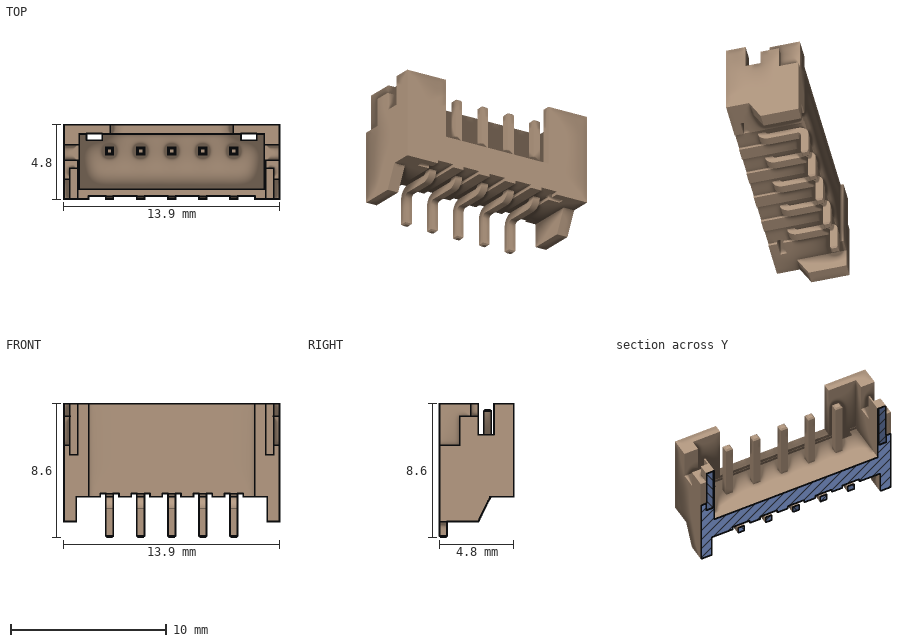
import cadquery as cq


length = 13.9
depth = 4.8
body_height = 6.0
half_length = length / 2

cavity_width = 11.93
front_wall = 0.63
back_wall = 0.58
floor_thickness = 1.6
cavity_back = depth - back_wall

ledge_width = 0.03
ledge_height = 0.2

pad_width = 1.6
relief_depth = 0.2

post_width = 2.99
back_drop = 3.99

slot_front = 2.5
slot_width = 1.0
slot_depth = 2.0

tab_thickness = 0.5
tab_depth = 2.0
tab_height = 3.31
tab_wall = 0.1
tab_inner_x = cavity_width / 2 + tab_wall
tab_outer_x = tab_inner_x + tab_thickness

skin_front_depth = 1.29
skin_front_drop = 2.7
skin_back_drop = 0.8

leg_width = 0.8
leg_height = 1.6
leg_toe_y = 2.5
leg_root_y = 3.28

core_hole_width = 1.0
core_hole_depth = 0.42
core_hole_x = 4.98

pin_count = 5
pin_pitch = 2.0
pin_size = 0.5
pin_back_y = 3.35
pin_tip_recess = 0.4
pin_top = body_height - pin_tip_recess
pin_bottom = -2.6
pin_run_top = 0.0
bend_inner = 0.25
bend_outer = bend_inner + pin_size
tip_chamfer = 0.1
pin_xs = [(i - (pin_count - 1) / 2) * pin_pitch for i in range(pin_count)]

groove_width = 1.2
groove_depth = 0.21


def block(x_range, y_range, z_range):
    """Box spanning the given ranges."""
    sizes = [end - start for start, end in (x_range, y_range, z_range)]
    return (
        cq.Workplane("XY")
        .box(*sizes, centered=False)
        .translate((x_range[0], y_range[0], z_range[0]))
    )


def mirrored(shape):
    """The shape together with its mirror image at the other end."""
    return shape.union(shape.mirror("YZ"))


def make_tab(side):
    """Tab at the end given by side (-1 or 1), flush with the front face and the rim."""
    x_range = sorted((side * tab_inner_x, side * tab_outer_x))
    return block(x_range, (0, tab_depth), (body_height - tab_height, body_height))


def make_pin(x):
    """Square pin: upright, forward under the floor, then down along the front face."""
    pin_front_y = pin_back_y - pin_size
    run_bottom = pin_run_top - pin_size
    rear_bend_z = pin_run_top + bend_inner
    front_bend_z = run_bottom - bend_inner
    profile = (
        cq.Workplane("YZ", origin=(x - pin_size / 2, 0, 0))
        .moveTo(pin_back_y, pin_top)
        .lineTo(pin_back_y, rear_bend_z)
        .radiusArc((pin_back_y - bend_outer, run_bottom), bend_outer)
        .lineTo(bend_outer, run_bottom)
        .radiusArc((pin_size, front_bend_z), -bend_inner)
        .lineTo(pin_size, pin_bottom)
        .lineTo(0, pin_bottom)
        .lineTo(0, front_bend_z)
        .radiusArc((bend_outer, pin_run_top), bend_outer)
        .lineTo(pin_front_y - bend_inner, pin_run_top)
        .radiusArc((pin_front_y, rear_bend_z), -bend_inner)
        .lineTo(pin_front_y, pin_top)
        .close()
    )
    pin = profile.extrude(pin_size)
    return pin.faces(">Z or <Z").edges().chamfer(tip_chamfer)


def make_leg():
    """Leg under the +X end wall, with a sloped rear edge."""
    return (
        cq.Workplane("YZ", origin=(half_length - leg_width, 0, 0))
        .polyline([(0, 0), (leg_root_y, 0), (leg_toe_y, -leg_height), (0, -leg_height)])
        .close()
        .extrude(leg_width)
    )


def cut_cavity(body):
    """Open cavity with a low ledge left along the foot of its back wall."""
    half_width = cavity_width / 2
    cavity = block((-half_width, half_width), (front_wall, cavity_back), (floor_thickness, body_height))
    ledge = block(
        (-half_width, half_width),
        (cavity_back - ledge_width, cavity_back),
        (floor_thickness, floor_thickness + ledge_height),
    )
    return body.cut(cavity.cut(ledge))


def cut_wall_reliefs(body):
    """Shallow relief of the front face and lowered middle of the back wall."""
    front_half = half_length - pad_width
    back_half = half_length - post_width
    front = block((-front_half, front_half), (0, relief_depth), (0, body_height))
    back = block((-back_half, back_half), (cavity_back, depth), (body_height - back_drop, body_height))
    return body.cut(front).cut(back)


def cut_end_walls(body):
    """Slot across each end wall and the stepped relief of the skin in front of it."""
    slot = block(
        (cavity_width / 2, half_length),
        (slot_front, slot_front + slot_width),
        (body_height - slot_depth, body_height),
    )
    skin_front = block(
        (tab_outer_x, half_length), (0, skin_front_depth), (body_height - skin_front_drop, body_height)
    )
    skin_back = block(
        (tab_outer_x, half_length),
        (skin_front_depth, slot_front),
        (body_height - skin_back_drop, body_height),
    )
    behind_tab = block(
        (tab_inner_x, tab_outer_x), (tab_depth, slot_front), (body_height - skin_back_drop, body_height)
    )
    return body.cut(mirrored(slot.union(skin_front).union(skin_back).union(behind_tab)))


def cut_floor(body):
    """Core holes through the floor and the grooves in its underside."""
    core_hole = block(
        (core_hole_x - core_hole_width / 2, core_hole_x + core_hole_width / 2),
        (cavity_back - core_hole_depth, cavity_back),
        (0, floor_thickness + ledge_height),
    )
    body = body.cut(mirrored(core_hole))
    for x in pin_xs:
        body = body.cut(block((x - groove_width / 2, x + groove_width / 2), (0, depth), (0, groove_depth)))
    return body


def make_housing(inserts):
    """Housing with a matching recess for each tab and pin."""
    body = block((-half_length, half_length), (0, depth), (0, body_height))
    body = body.union(mirrored(make_leg()))
    body = cut_cavity(body)
    body = cut_wall_reliefs(body)
    body = cut_end_walls(body)
    body = cut_floor(body)
    for insert in inserts:
        body = body.cut(insert)
    return body


pins = [make_pin(x) for x in pin_xs]
tabs = [make_tab(side) for side in (-1, 1)]
housing = make_housing(pins + tabs)

result = cq.Compound.makeCompound(
    [body.solids().val() for body in [housing, *tabs, *pins]]
)